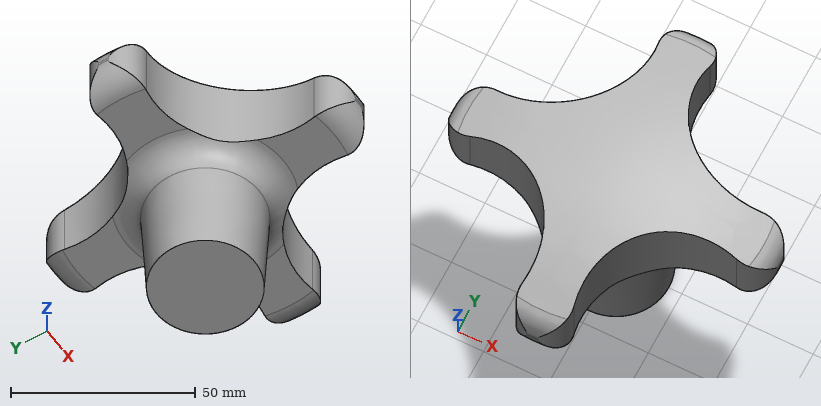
import cadquery as cq
import math

knob_diameter = 100.0
total_height = 63.0
head_underside = 38.0

tip_radius = 8.0
scallop_radius = 28.0
scallop_circle_radius = knob_diameter / 2
arm_count = 4

stem_base_radius = 16.0
stem_draft = math.radians(3.0)
stem_fillet = 8.0

dome_radius = 120.0
dome_center_z = total_height - dome_radius
rim_center_r = knob_diameter / 2 - tip_radius
lower_rim_z = head_underside + tip_radius
upper_rim_z = dome_center_z + math.sqrt((dome_radius - tip_radius)**2 - rim_center_r**2)
rim_angle = math.atan2(upper_rim_z - dome_center_z, rim_center_r)


def arc_point(center_r, center_z, radius, angle):
    """Point (r, z) on an arc of the half profile."""
    return (center_r + radius * math.cos(angle), center_z + radius * math.sin(angle))


def make_revolved_body():
    """Stem and domed head as one solid of revolution."""
    fillet_z = head_underside - stem_fillet
    stem_top_z = fillet_z + stem_fillet * math.sin(stem_draft)
    stem_top_r = stem_base_radius + stem_top_z * math.tan(stem_draft)
    fillet_r = stem_top_r + stem_fillet * math.cos(stem_draft)
    fillet_mid_angle = (math.pi - stem_draft + math.pi / 2) / 2
    dome_mid_angle = (rim_angle + math.pi / 2) / 2
    return (
        cq.Workplane("XZ")
        .lineTo(stem_base_radius, 0)
        .lineTo(stem_top_r, stem_top_z)
        .threePointArc(
            arc_point(fillet_r, fillet_z, stem_fillet, fillet_mid_angle),
            (fillet_r, head_underside),
        )
        .lineTo(rim_center_r, head_underside)
        .threePointArc(
            arc_point(rim_center_r, lower_rim_z, tip_radius, -math.pi / 4),
            (knob_diameter / 2, lower_rim_z),
        )
        .lineTo(knob_diameter / 2, upper_rim_z)
        .threePointArc(
            arc_point(rim_center_r, upper_rim_z, tip_radius, rim_angle / 2),
            arc_point(rim_center_r, upper_rim_z, tip_radius, rim_angle),
        )
        .threePointArc(
            arc_point(0, dome_center_z, dome_radius, dome_mid_angle),
            (0, total_height),
        )
        .close()
        .revolve(360, (0, 0, 0), (0, 1, 0))
    )


def make_arm_envelope():
    """Upright prism with the star outline: tip arcs tangent to scallop arcs."""
    scallop_offset = scallop_circle_radius * math.sqrt(0.5)
    center_distance = scallop_radius + tip_radius
    tip_center = scallop_offset + math.sqrt(center_distance**2 - scallop_offset**2)
    tip_share = tip_radius / center_distance
    join_x = tip_center + (scallop_offset - tip_center) * tip_share
    join_y = scallop_offset * tip_share
    scallop_mid = (scallop_circle_radius - scallop_radius) * math.sqrt(0.5)

    def turned(x, y, quarter):
        angle = quarter * 2 * math.pi / arm_count
        cosine = math.cos(angle)
        sine = math.sin(angle)
        return (x * cosine - y * sine, x * sine + y * cosine)

    outline = cq.Workplane("XY").moveTo(join_x, -join_y)
    for quarter in range(arm_count):
        outline = outline.threePointArc(
            turned(tip_center + tip_radius, 0, quarter),
            turned(join_x, join_y, quarter),
        )
        outline = outline.threePointArc(
            turned(scallop_mid, scallop_mid, quarter),
            turned(join_x, -join_y, quarter + 1),
        )
    return outline.close().extrude(total_height)


result = make_revolved_body().intersect(make_arm_envelope())